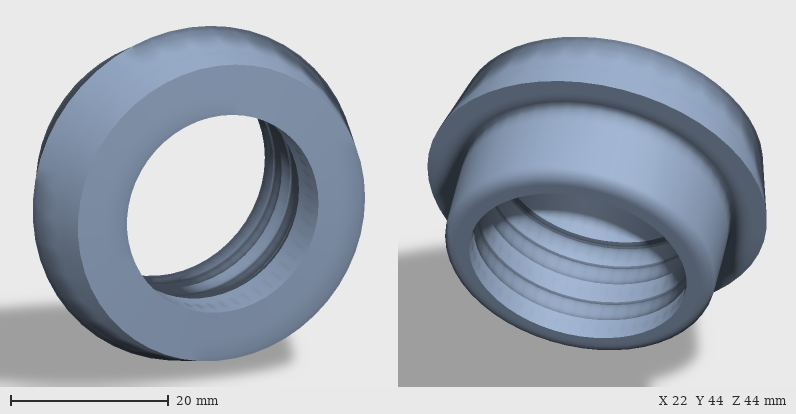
import cadquery as cq

total_length = 22.0
flange_front_x = 12.0
flange_back_x = 21.55

barrel_diameter = 35.02
flange_front_diameter = 44.0
flange_back_diameter = 39.0
nose_fillet = 1.65
root_fillet = 0.55

bore_diameter = 28.2
shoulder_diameter = 27.68
shoulder_x = 15.05
through_diameter = 26.0
bevel_length = 0.18

groove_diameter = 28.8
groove_width = 3.0
groove_pitch = 2 * groove_width
groove_count = 2


def make_body():
    """Barrel and tapered flange with a shallow conical back, revolved about X."""
    barrel_radius = barrel_diameter / 2
    profile = (
        cq.Workplane("XY")
        .lineTo(0, barrel_radius - nose_fillet)
        .radiusArc((nose_fillet, barrel_radius), nose_fillet)
        .lineTo(flange_front_x - root_fillet, barrel_radius)
        .radiusArc((flange_front_x, barrel_radius + root_fillet), -root_fillet)
        .lineTo(flange_front_x, flange_front_diameter / 2)
        .lineTo(flange_back_x, flange_back_diameter / 2)
        .lineTo(total_length, through_diameter / 2)
        .lineTo(total_length, 0)
        .close()
    )
    return profile.revolve(360, (0, 0, 0), (1, 0, 0))


def make_bore():
    """Bore cavity with square-entry, bevelled-exit grooves, revolved about X."""
    bore_radius = bore_diameter / 2
    groove_radius = groove_diameter / 2
    through_radius = through_diameter / 2
    profile = cq.Workplane("XY").lineTo(0, bore_radius)
    for index in range(groove_count):
        start_x = groove_width + index * groove_pitch
        end_x = start_x + groove_width
        profile = (
            profile.lineTo(start_x, bore_radius)
            .lineTo(start_x, groove_radius)
            .lineTo(end_x - bevel_length, groove_radius)
            .lineTo(end_x, bore_radius)
        )
    profile = (
        profile.lineTo(shoulder_x - bevel_length, bore_radius)
        .lineTo(shoulder_x, shoulder_diameter / 2)
        .lineTo(shoulder_x, through_radius)
        .lineTo(total_length, through_radius)
        .lineTo(total_length, 0)
        .close()
    )
    return profile.revolve(360, (0, 0, 0), (1, 0, 0))


result = make_body().cut(make_bore())